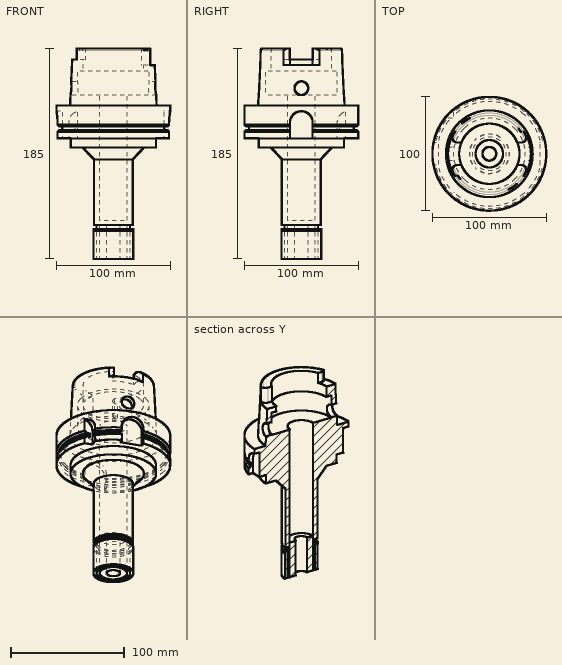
import cadquery as cq
import math

TOTAL_LENGTH = 185.0
TAPER_LENGTH = 50.0
FLANGE_HEIGHT = 29.0
SPIGOT_HEIGHT = 8.1
CONE_HEIGHT = 10.2
NUT_HEIGHT = 26.6
NECK_GAP = 3.3

FACE_Z = TOTAL_LENGTH - TAPER_LENGTH
FLANGE_BASE_Z = FACE_Z - FLANGE_HEIGHT
SPIGOT_BASE_Z = FLANGE_BASE_Z - SPIGOT_HEIGHT
CONE_BASE_Z = SPIGOT_BASE_Z - CONE_HEIGHT
SHANK_BASE_Z = NUT_HEIGHT + NECK_GAP

FLANGE_DIAMETER = 100.0
FLANGE_RADIUS = FLANGE_DIAMETER / 2
SPIGOT_RADIUS = 37.5
CONE_TOP_RADIUS = 26.8
SHANK_RADIUS = 17.2
NECK_RADIUS = 14.8
TAPER_BASE_RADIUS = 38.1
TAPER_TOP_RADIUS = 35.7
TAPER_EDGE_FILLET = 2.0

GROOVE_RADIUS = 46.0
GROOVE_CHAMFER = 1.8
GROOVE_TOP_DROP = 16.8
GROOVE_WIDTH = 6.7

MOUTH_RADIUS = 26.5
MOUTH_DEPTH = 20.0
CHAMBER_RADIUS = 31.5
CHAMBER_DEPTH = 41.0
BORE_RADIUS = 12.0

DRIVE_SLOT_WIDTH = 20.0
DRIVE_SLOT_DEPTH_LEFT = 9.6
DRIVE_SLOT_DEPTH_RIGHT = 14.6
DRIVE_SLOT_CORNER = 4.0

CROSS_HOLE_RADIUS = 6.0
CROSS_HOLE_DROP = 35.0

KEYWAY_RADIUS = 10.0
KEYWAY_TOP_DROP = 5.2
KEYWAY_FLOOR_X = 44.4
NOTCH_FLOOR_X = 31.6
NOTCH_CENTER_Y = 41.5

NUT_RADIUS = 17.5
NUT_BAND_HEIGHT = 1.8
NUT_BAND_STEP = 0.1
COLLET_LENGTH = 34.0
COLLET_HOLE_RADIUS = 6.0


def cylinder(radius, base_z, top_z):
    return cq.Workplane("XY").workplane(offset=base_z).circle(radius).extrude(top_z - base_z)


def make_taper():
    """Tapered plug on the flange face, with its top rim rounded."""
    taper = (
        cq.Workplane("XZ")
        .polyline([
            (0, FACE_Z),
            (TAPER_BASE_RADIUS, FACE_Z),
            (TAPER_TOP_RADIUS, TOTAL_LENGTH),
            (0, TOTAL_LENGTH),
        ])
        .close()
        .revolve(360, (0, 0, 0), (0, 1, 0))
    )
    return taper.faces(">Z").edges().fillet(TAPER_EDGE_FILLET)


def make_drive_slot(side, depth):
    """Cutter for one drive slot: side is -1 for the -X wall and 1 for the +X wall.

    The slot flares outward along arcs that round each lug into the taper surface.
    """
    half_width = DRIVE_SLOT_WIDTH / 2
    arc_center_y = half_width + DRIVE_SLOT_CORNER
    arc_center_x = math.sqrt((TAPER_TOP_RADIUS - DRIVE_SLOT_CORNER) ** 2 - arc_center_y ** 2)
    rim_scale = TAPER_TOP_RADIUS / (TAPER_TOP_RADIUS - DRIVE_SLOT_CORNER)
    rim_x = arc_center_x * rim_scale
    rim_y = arc_center_y * rim_scale
    mid_angle = (math.atan2(arc_center_y, arc_center_x) - math.pi / 2) / 2
    mid_x = arc_center_x + DRIVE_SLOT_CORNER * math.cos(mid_angle)
    mid_y = arc_center_y + DRIVE_SLOT_CORNER * math.sin(mid_angle)
    return (
        cq.Workplane("XY")
        .workplane(offset=TOTAL_LENGTH - depth)
        .moveTo(0, -half_width)
        .lineTo(side * arc_center_x, -half_width)
        .threePointArc((side * mid_x, -mid_y), (side * rim_x, -rim_y))
        .lineTo(side * FLANGE_RADIUS, -rim_y)
        .lineTo(side * FLANGE_RADIUS, rim_y)
        .lineTo(side * rim_x, rim_y)
        .threePointArc((side * mid_x, mid_y), (side * arc_center_x, half_width))
        .lineTo(0, half_width)
        .close()
        .extrude(depth)
    )


def make_keyway(side, floor_x, center_y):
    """Cutter for a round-topped flange keyway, open outward along X and at the flange base."""
    arch_center_z = FACE_Z - KEYWAY_TOP_DROP - KEYWAY_RADIUS
    return (
        cq.Workplane("YZ")
        .workplane(offset=side * floor_x)
        .moveTo(center_y - KEYWAY_RADIUS, FLANGE_BASE_Z)
        .lineTo(center_y + KEYWAY_RADIUS, FLANGE_BASE_Z)
        .lineTo(center_y + KEYWAY_RADIUS, arch_center_z)
        .threePointArc((center_y, arch_center_z + KEYWAY_RADIUS), (center_y - KEYWAY_RADIUS, arch_center_z))
        .close()
        .extrude(side * FLANGE_RADIUS)
    )


def make_flange():
    """Flange with its chamfered gripper groove and keyways."""
    groove_top = FACE_Z - GROOVE_TOP_DROP
    groove_base = groove_top - GROOVE_WIDTH
    lip_radius = FLANGE_RADIUS - GROOVE_CHAMFER
    flange = (
        cq.Workplane("XZ")
        .polyline([
            (0, FACE_Z),
            (FLANGE_RADIUS, FACE_Z),
            (FLANGE_RADIUS, groove_top),
            (lip_radius, groove_top - GROOVE_CHAMFER),
            (GROOVE_RADIUS, groove_top - GROOVE_CHAMFER),
            (GROOVE_RADIUS, groove_base + GROOVE_CHAMFER),
            (lip_radius, groove_base + GROOVE_CHAMFER),
            (FLANGE_RADIUS, groove_base),
            (FLANGE_RADIUS, FLANGE_BASE_Z),
            (0, FLANGE_BASE_Z),
        ])
        .close()
        .revolve(360, (0, 0, 0), (0, 1, 0))
    )
    for side in (-1, 1):
        flange = flange.cut(make_keyway(side, KEYWAY_FLOOR_X, 0))
    return flange.cut(make_keyway(-1, NOTCH_FLOOR_X, NOTCH_CENTER_Y))


def make_stem():
    """Spigot, cone, shank and neck below the flange."""
    return (
        cq.Workplane("XZ")
        .polyline([
            (0, FLANGE_BASE_Z),
            (SPIGOT_RADIUS, FLANGE_BASE_Z),
            (SPIGOT_RADIUS, SPIGOT_BASE_Z),
            (CONE_TOP_RADIUS, SPIGOT_BASE_Z),
            (SHANK_RADIUS, CONE_BASE_Z),
            (SHANK_RADIUS, SHANK_BASE_Z),
            (NECK_RADIUS, SHANK_BASE_Z),
            (NECK_RADIUS, 0),
            (0, 0),
        ])
        .close()
        .revolve(360, (0, 0, 0), (0, 1, 0))
    )


def make_holder():
    holder = make_taper().union(make_flange()).union(make_stem())

    mouth_floor = TOTAL_LENGTH - MOUTH_DEPTH
    chamber_floor = TOTAL_LENGTH - CHAMBER_DEPTH
    holder = holder.cut(cylinder(MOUTH_RADIUS, mouth_floor, TOTAL_LENGTH))
    holder = holder.cut(cylinder(CHAMBER_RADIUS, chamber_floor, mouth_floor))
    holder = holder.cut(cylinder(BORE_RADIUS, 0, chamber_floor))

    holder = holder.cut(make_drive_slot(-1, DRIVE_SLOT_DEPTH_LEFT))
    holder = holder.cut(make_drive_slot(1, DRIVE_SLOT_DEPTH_RIGHT))

    cross_hole = (
        cq.Workplane("YZ")
        .center(0, TOTAL_LENGTH - CROSS_HOLE_DROP)
        .circle(CROSS_HOLE_RADIUS)
        .extrude(FLANGE_RADIUS, both=True)
    )
    return holder.cut(cross_hole)


def make_nut():
    """Clamping nut around the neck, with a slightly smaller band at its top."""
    band_base = NUT_HEIGHT - NUT_BAND_HEIGHT
    nut = cylinder(NUT_RADIUS, 0, band_base)
    nut = nut.union(cylinder(NUT_RADIUS - NUT_BAND_STEP, band_base, NUT_HEIGHT))
    return nut.cut(cylinder(NECK_RADIUS, 0, NUT_HEIGHT))


def make_collet():
    """Collet filling the lower end of the holder bore."""
    return cylinder(BORE_RADIUS, 0, COLLET_LENGTH).cut(cylinder(COLLET_HOLE_RADIUS, 0, COLLET_LENGTH))


holder = make_holder()
nut = make_nut()
collet = make_collet()

result = cq.Compound.makeCompound([holder.val(), nut.val(), collet.val()])